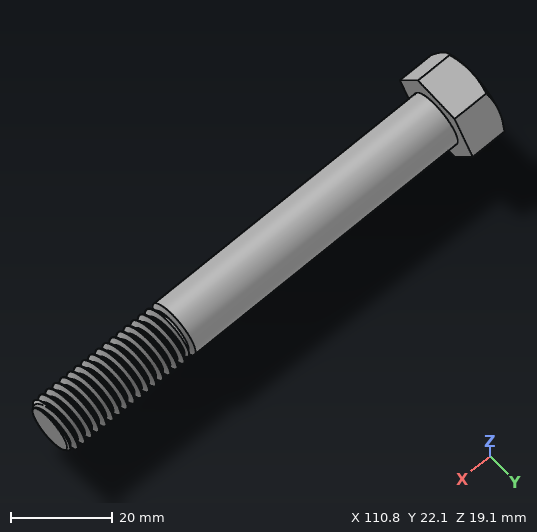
import cadquery as cq
import math

overall_length = 110.8
across_flats = 19.1
head_height = 9.2
head_chamfer_angle = 30.0
shank_diameter = 13.0
shank_end = 78.1
shank_taper_length = 0.7

core_radius = 5.2
crest_flat = 0.2
root_flat = 0.3
start_taper_length = 1.0
tip_taper_length = 1.2
first_crest = 81.5
last_crest = 109.5
turns_between_crests = 15
root_overlap = 0.2

shank_radius = shank_diameter / 2
across_corners = across_flats / math.cos(math.radians(30))
pitch = (last_crest - first_crest) / turns_between_crests
thread_start = shank_end + shank_taper_length
full_thread_start = thread_start + start_taper_length
full_thread_end = overall_length - tip_taper_length


def revolve_about_axis(points):
    """Revolve an outline of (x, radius) points about the bolt axis."""
    return cq.Workplane("XY").polyline(points).close().revolve(360, (0, 0, 0), (1, 0, 0))


def make_head():
    """Hexagonal head with two flats facing +Z and -Z and a conical chamfer on its corners."""
    hexagon = cq.Workplane("YZ").polygon(6, across_corners).extrude(head_height)
    face_radius = across_flats / 2
    corner_radius = across_corners / 2
    chamfer_depth = (corner_radius - face_radius) * math.tan(math.radians(head_chamfer_angle))
    chamfer_envelope = revolve_about_axis([
        (0, 0),
        (0, face_radius),
        (chamfer_depth, corner_radius),
        (head_height, corner_radius),
        (head_height, 0),
    ])
    return hexagon.intersect(chamfer_envelope)


def make_shank_and_core():
    """Plain shank tapering down to the thread core, which runs to the tip."""
    return revolve_about_axis([
        (head_height, 0),
        (head_height, shank_radius),
        (shank_end, shank_radius),
        (thread_start, core_radius),
        (overall_length, core_radius),
        (overall_length, 0),
    ])


def make_thread():
    """Right-handed helical ridge, tapered away at both ends of the thread."""
    turns_before = math.ceil((first_crest - thread_start) / pitch) + 1
    turns_after = math.ceil((overall_length - first_crest) / pitch) + 1
    helix_start = first_crest - turns_before * pitch
    helix_length = (turns_before + turns_after) * pitch

    flank_slope = (pitch - root_flat - crest_flat) / 2 / (shank_radius - core_radius)
    inner_radius = core_radius - root_overlap
    inner_half_width = crest_flat / 2 + flank_slope * (shank_radius - inner_radius)
    helix = cq.Wire.makeHelix(pitch, helix_length, inner_radius)
    ridge = (
        cq.Workplane("XZ")
        .polyline([
            (inner_radius, -inner_half_width),
            (shank_radius, -crest_flat / 2),
            (shank_radius, crest_flat / 2),
            (inner_radius, inner_half_width),
        ])
        .close()
        .sweep(cq.Workplane(obj=helix), isFrenet=True)
    )
    ridge = (
        ridge.rotate((0, 0, 0), (0, 0, 1), 180)
        .rotate((0, 0, 0), (0, 1, 0), 90)
        .translate((helix_start, 0, 0))
    )
    envelope_radius = shank_radius + root_overlap
    start_slope = (shank_radius - core_radius) / start_taper_length
    tip_slope = (shank_radius - core_radius) / tip_taper_length
    envelope = revolve_about_axis([
        (thread_start, 0),
        (thread_start, core_radius),
        (full_thread_start + root_overlap / start_slope, envelope_radius),
        (full_thread_end - root_overlap / tip_slope, envelope_radius),
        (overall_length, core_radius),
        (overall_length, 0),
    ])
    return ridge.intersect(envelope)


result = make_head().union(make_shank_and_core()).union(make_thread())